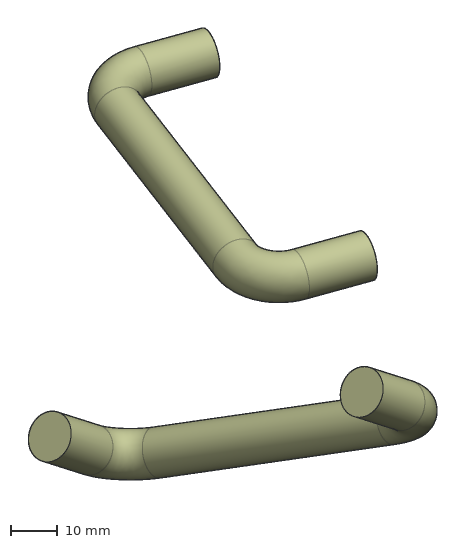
import cadquery as cq

OVERALL_LENGTH = 91.0
OVERALL_DEPTH = 31.5
BAR_DIAMETER = 11.0
BEND_RADIUS = 10.0

BAR_RADIUS = BAR_DIAMETER / 2
LEG_X = OVERALL_LENGTH / 2 - BAR_RADIUS
GRIP_HALF_LENGTH = LEG_X - BEND_RADIUS
LEG_END_Y = OVERALL_DEPTH - BAR_RADIUS


def make_centreline():
    """U-shaped path in the XY plane, with the grip lying on the X axis."""
    return (
        cq.Workplane("XY")
        .moveTo(-LEG_X, LEG_END_Y)
        .lineTo(-LEG_X, BEND_RADIUS)
        .radiusArc((-GRIP_HALF_LENGTH, 0), -BEND_RADIUS)
        .lineTo(GRIP_HALF_LENGTH, 0)
        .radiusArc((LEG_X, BEND_RADIUS), -BEND_RADIUS)
        .lineTo(LEG_X, LEG_END_Y)
    )


def make_handle():
    """Round bar swept along the centreline, starting at the left leg end."""
    leg_end = cq.Workplane("XZ", origin=(-LEG_X, LEG_END_Y, 0))
    return leg_end.circle(BAR_RADIUS).sweep(make_centreline())


handle = make_handle()

result = cq.Compound.makeCompound([handle.val()])